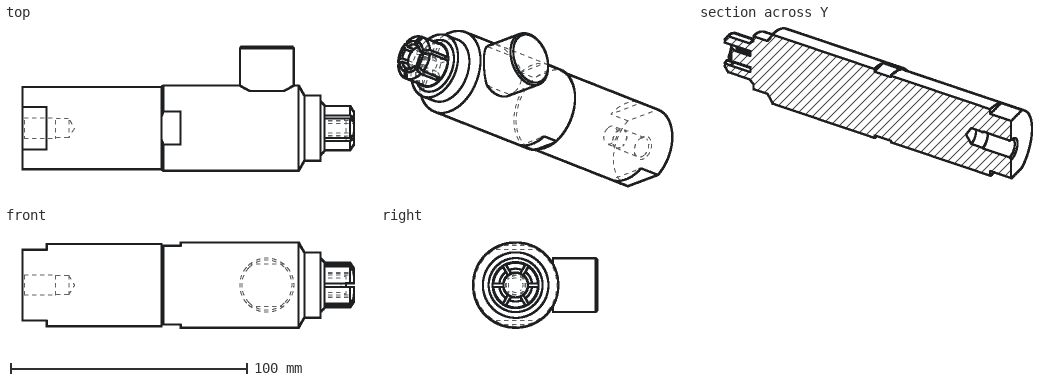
import cadquery as cq
import math

total_length = 140.2

sleeve_diameter = 34.9
sleeve_length = 58.9
sleeve_flat_length = 10.2
sleeve_flat_width = 30.0

body_diameter = 36.2
body_edge_length = 0.7
body_end = 116.8
body_flat_end = 66.9
body_flat_width = 33.4

body_cone_angle = 60.0
collar_diameter = 27.8
collar_end = 126.0
body_cone_length = (body_diameter - collar_diameter) / 2 * math.tan(math.radians(90 - body_cone_angle))

boss_diameter = 22.9
boss_length = 1.7
boss_end = collar_end + boss_length

nose_diameter = 19.0
nose_tip_diameter = 13.9
nose_chamfer_length = 1.7
nose_bore_diameter = 10.7
slot_count = 6
slot_width = 1.5
pin_diameter = 6.2
pin_end = 136.9
pin_flare_radius = 2.1

entry_bore_diameter = 8.5
entry_bore_depth = 14.0
hole_diameter = 8.0
countersink_diameter = 10.2
hole_depth = 19.6
drill_point_angle = 118.0

port_diameter = 22.9
port_x = 103.3
port_base_y = 15.7
port_end_y = 34.6
port_chamfer = 0.8


def revolve_about_axis(profile_points):
    """Revolve (x, radius) points around the X axis."""
    return cq.Workplane("XY").polyline(profile_points).close().revolve(360, (0, 0, 0), (1, 0, 0))


def make_barrel():
    """All the outer turned steps, from the rear face to the boss."""
    sleeve_radius = sleeve_diameter / 2
    body_radius = body_diameter / 2
    collar_radius = collar_diameter / 2
    boss_radius = boss_diameter / 2
    return revolve_about_axis([
        (0, 0),
        (0, sleeve_radius),
        (sleeve_length, sleeve_radius),
        (sleeve_length + body_edge_length, body_radius),
        (body_end, body_radius),
        (body_end + body_cone_length, collar_radius),
        (collar_end, collar_radius),
        (collar_end, boss_radius),
        (boss_end, boss_radius - boss_length),
        (boss_end, 0),
    ])


def make_crown():
    """The chamfered tube split lengthwise by radial slots."""
    outer_radius = nose_diameter / 2
    bore_radius = nose_bore_diameter / 2
    crown = revolve_about_axis([
        (boss_end, bore_radius),
        (boss_end, outer_radius),
        (total_length - nose_chamfer_length, outer_radius),
        (total_length, nose_tip_diameter / 2),
        (total_length, bore_radius),
    ])
    slot_length = total_length - boss_end
    for index in range(slot_count):
        slot = (
            cq.Workplane("XY")
            .box(slot_length, outer_radius, slot_width, centered=(False, False, True))
            .translate((boss_end, 0, 0))
            .rotate((0, 0, 0), (1, 0, 0), index * 360 / slot_count)
        )
        crown = crown.cut(slot)
    return crown


def make_pin():
    """The pin inside the crown; a concave arc widens its tip."""
    pin_radius = pin_diameter / 2
    flare_start = pin_end - pin_flare_radius
    flare_centre_radius = pin_radius + pin_flare_radius
    cos_45 = math.sqrt(0.5)
    flare_middle = (
        flare_start + pin_flare_radius * cos_45,
        flare_centre_radius - pin_flare_radius * cos_45,
    )
    return (
        cq.Workplane("XY")
        .moveTo(boss_end, 0)
        .lineTo(boss_end, pin_radius)
        .lineTo(flare_start, pin_radius)
        .threePointArc(flare_middle, (pin_end, flare_centre_radius))
        .lineTo(pin_end, 0)
        .close()
        .revolve(360, (0, 0, 0), (1, 0, 0))
    )


def make_flats(start_x, end_x, across_flats):
    """Two cutters that leave flats on the +Z and -Z sides."""
    cutters = cq.Workplane("XY")
    for side in (1, -1):
        cutters = cutters.add(
            cq.Workplane("XY")
            .box(end_x - start_x, body_diameter, body_diameter, centered=(False, True, True))
            .translate((start_x, 0, side * (across_flats + body_diameter) / 2))
        )
    return cutters.combine()


def make_rear_hole():
    """The blind hole as a solid, from its countersink to its drill point."""
    hole_radius = hole_diameter / 2
    countersink_radius = countersink_diameter / 2
    entry_radius = entry_bore_diameter / 2
    countersink_depth = countersink_radius - entry_radius
    point_length = hole_radius / math.tan(math.radians(drill_point_angle / 2))
    return revolve_about_axis([
        (0, 0),
        (0, countersink_radius),
        (countersink_depth, entry_radius),
        (entry_bore_depth, entry_radius),
        (entry_bore_depth, hole_radius),
        (hole_depth, hole_radius),
        (hole_depth + point_length, 0),
    ])


def make_port():
    """The port cylinder; the sides of its flat base overhang the round body."""
    return (
        cq.Workplane("XZ", origin=(port_x, port_base_y, 0))
        .circle(port_diameter / 2)
        .extrude(port_base_y - port_end_y)
        .faces(">Y")
        .chamfer(port_chamfer)
    )


result = make_barrel().union(make_crown()).union(make_pin()).union(make_port())
result = result.cut(make_flats(0, sleeve_flat_length, sleeve_flat_width))
result = result.cut(make_flats(sleeve_length, body_flat_end, body_flat_width))
result = result.cut(make_rear_hole())